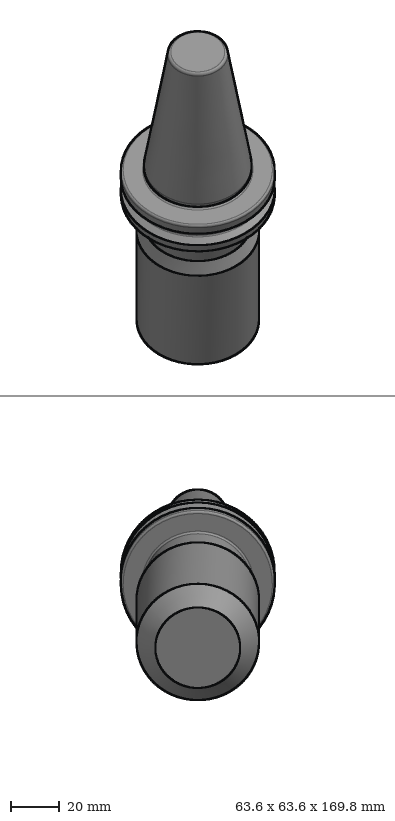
import cadquery as cq

total_height = 169.8

taper_ratio = 7 / 24
gauge_radius = 22.3
gauge_z = 101.5
tip_round = 1.4
shank_top_radius = gauge_radius - (total_height - gauge_z) * taper_ratio / 2

flange_radius = 31.8
flange_top_z = 98.5
flange_bottom_z = 82.5
flange_round = 1.0
groove_floor_radius = 28.2
groove_center_z = 90.4
groove_floor_width = 3.4
groove_mouth_width = 7.0
groove_fillet = 0.7
root_fillet = 0.8

undercut_reach = 0.5
undercut_depth = 0.3
undercut_height = 1.4

neck_radius = 22.3
neck_bottom_z = 67.0
body_radius = 25.3
body_top_z = 61.3
body_bottom_z = 7.5
nose_radius = 17.5


def make_blank():
    """Revolve the half outline from the nose up to the shank tip."""
    outline = (
        cq.Workplane("XZ")
        .lineTo(nose_radius, 0)
        .lineTo(body_radius, body_bottom_z)
        .lineTo(body_radius, body_top_z)
        .lineTo(neck_radius, neck_bottom_z)
        .lineTo(neck_radius, flange_bottom_z - root_fillet)
        .radiusArc((neck_radius + root_fillet, flange_bottom_z), root_fillet)
        .lineTo(flange_radius - flange_round, flange_bottom_z)
        .radiusArc((flange_radius, flange_bottom_z + flange_round), -flange_round)
        .lineTo(flange_radius, flange_top_z - flange_round)
        .radiusArc((flange_radius - flange_round, flange_top_z), -flange_round)
        .lineTo(gauge_radius + undercut_reach, flange_top_z)
        .threePointArc(
            (gauge_radius - undercut_depth, flange_top_z + undercut_height / 2),
            (gauge_radius, flange_top_z + undercut_height),
        )
        .lineTo(gauge_radius, gauge_z)
        .lineTo(shank_top_radius, total_height)
        .lineTo(0, total_height)
        .close()
    )
    return outline.revolve(360, (0, 0, 0), (0, 1, 0))


def make_groove():
    """Ring with sloping walls that cuts the gripper groove."""
    half_floor = groove_floor_width / 2
    half_mouth = groove_mouth_width / 2
    section = cq.Workplane("XZ").polyline([
        (groove_floor_radius, groove_center_z - half_floor),
        (flange_radius, groove_center_z - half_mouth),
        (flange_radius, groove_center_z + half_mouth),
        (groove_floor_radius, groove_center_z + half_floor),
    ])
    ring = section.close().revolve(360, (0, 0, 0), (0, 1, 0))
    floor_edges = ring.edges(cq.selectors.RadiusNthSelector(0))
    return floor_edges.fillet(groove_fillet)


result = make_blank().edges(">Z").fillet(tip_round).cut(make_groove())